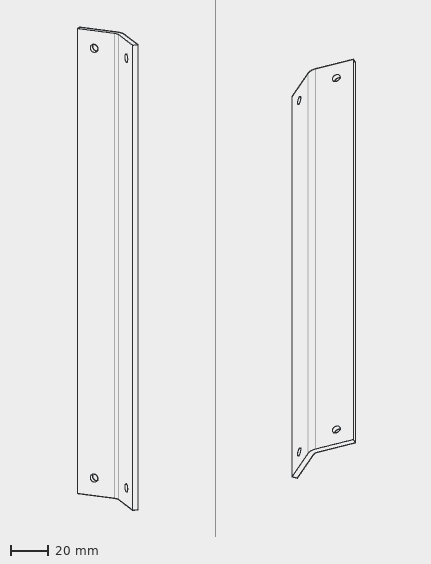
import cadquery as cq
import math

length = 260.0
thickness = 3.0
flange_width = 21.8
inner_radius = 4.5
bend_angle = 45.0
hole_diameter = 4.5
hole_edge_distance = 10.0
hole_end_distance = 10.0

outer_radius = inner_radius + thickness


def around_bend(radius, angle, along=0.0):
    """Point at a radius and angle around the bend, moved along the tangent there."""
    turn = math.radians(angle)
    return (
        radius * math.sin(turn) + along * math.cos(turn),
        radius * math.cos(turn) - along * math.sin(turn),
    )


def bent_strip():
    profile = (
        cq.Workplane("XY")
        .moveTo(-flange_width, outer_radius)
        .lineTo(*around_bend(outer_radius, 0))
        .threePointArc(around_bend(outer_radius, bend_angle / 2), around_bend(outer_radius, bend_angle))
        .lineTo(*around_bend(outer_radius, bend_angle, flange_width))
        .lineTo(*around_bend(inner_radius, bend_angle, flange_width))
        .lineTo(*around_bend(inner_radius, bend_angle))
        .threePointArc(around_bend(inner_radius, bend_angle / 2), around_bend(inner_radius, 0))
        .lineTo(-flange_width, inner_radius)
        .close()
    )
    return profile.extrude(length)


def flange_hole(angle, along, height):
    """Cutter normal to the flange at the given bend angle, through its thickness."""
    x, y = around_bend(inner_radius - thickness, angle, along)
    turn = math.radians(angle)
    axis = cq.Vector(math.sin(turn), math.cos(turn), 0)
    cutter_length = 3 * thickness
    return cq.Solid.makeCylinder(hole_diameter / 2, cutter_length, cq.Vector(x, y, height), axis)


hole_offset = flange_width - hole_edge_distance
result = bent_strip()
for height in (hole_end_distance, length - hole_end_distance):
    result = result.cut(flange_hole(0, -hole_offset, height))
    result = result.cut(flange_hole(bend_angle, hole_offset, height))